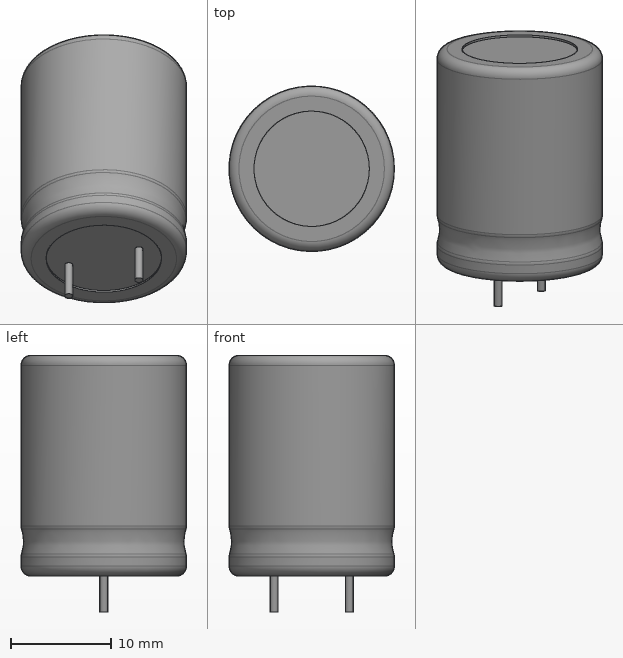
import cadquery as cq
import math


outer_diameter = 16.5
body_height = 22.0
end_round_radius = 1.0
sleeve_thickness = 0.2
sleeve_opening_diameter = 11.5

groove_center_z = 3.45
groove_depth = 0.25
groove_radius = 4.0
groove_blend_radius = 1.0

lead_diameter = 0.8
lead_spacing = 7.5
lead_end_z = -3.6

outer_radius = outer_diameter / 2


def body_of_revolution(inset):
    """Solid body with rounded ends and a groove, its surface set in from the sleeve's by `inset`."""
    side = outer_radius - inset
    bottom = inset
    top = body_height - inset
    end_round = end_round_radius - inset
    flat_end_radius = side - end_round
    corner_mid = end_round * math.sin(math.radians(45))

    groove = groove_radius + inset
    blend = groove_blend_radius - inset
    angle = math.acos(1 - groove_depth / (groove + blend))
    waist = side - groove_depth

    blend_start = (groove + blend) * math.sin(angle)
    groove_start = groove * math.sin(angle)
    groove_start_radius = side - blend * (1 - math.cos(angle))
    blend_mid = blend_start - blend * math.sin(angle / 2)
    blend_mid_radius = side - blend * (1 - math.cos(angle / 2))

    profile = (
        cq.Workplane("XZ")
        .moveTo(0, bottom)
        .lineTo(flat_end_radius, bottom)
        .threePointArc(
            (flat_end_radius + corner_mid, bottom + end_round - corner_mid),
            (side, bottom + end_round),
        )
        .lineTo(side, groove_center_z - blend_start)
        .threePointArc(
            (blend_mid_radius, groove_center_z - blend_mid),
            (groove_start_radius, groove_center_z - groove_start),
        )
        .threePointArc(
            (waist, groove_center_z),
            (groove_start_radius, groove_center_z + groove_start),
        )
        .threePointArc(
            (blend_mid_radius, groove_center_z + blend_mid),
            (side, groove_center_z + blend_start),
        )
        .lineTo(side, top - end_round)
        .threePointArc(
            (flat_end_radius + corner_mid, top - end_round + corner_mid),
            (flat_end_radius, top),
        )
        .lineTo(0, top)
        .close()
    )
    return profile.revolve(360, (0, 0, 0), (0, 1, 0))


def make_can():
    """Closed can that fills the inside of the sleeve."""
    return body_of_revolution(sleeve_thickness)


def make_sleeve(can):
    """Thin sleeve folded over both ends of the can, with a round opening at each end."""
    openings = cq.Workplane("XY").circle(sleeve_opening_diameter / 2).extrude(body_height)
    return body_of_revolution(0).cut(can).cut(openings)


def make_lead(x):
    """Straight round wire that hangs from the underside of the can."""
    can_bottom_z = sleeve_thickness
    return (
        cq.Workplane("XY", origin=(x, 0, lead_end_z))
        .circle(lead_diameter / 2)
        .extrude(can_bottom_z - lead_end_z)
    )


can = make_can()
sleeve = make_sleeve(can)
leads = [make_lead(side * lead_spacing / 2) for side in (-1, 1)]

result = cq.Compound.makeCompound([sleeve.solids().val(), can.val(), *[lead.val() for lead in leads]])